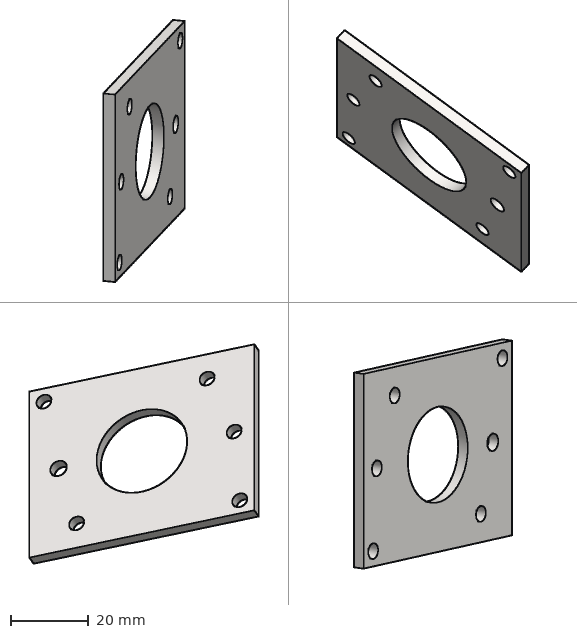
import cadquery as cq
import math

thickness = 3.15
width = 61.9
height = 50.8

bore_diameter = 24.9

hole_diameter = 4.1
side_hole_diameter = 4.5
corner_inset = 4.0
pitch_radius = 25.4
side_hole_offset = 22.9
diagonal_angle = 45.0

corner_y = width / 2 - corner_inset
corner_z = height / 2 - corner_inset
diagonal_offset = pitch_radius * math.cos(math.radians(diagonal_angle))


def through_holes(plate, diameter, centers):
    """Cut round holes through the thickness at (y, z) centers."""
    cutters = (
        cq.Workplane("YZ")
        .pushPoints(centers)
        .circle(diameter / 2)
        .extrude(thickness, both=True)
    )
    return plate.cut(cutters)


plate = cq.Workplane("XY").box(thickness, width, height)
plate = through_holes(plate, bore_diameter, [(0, 0)])
plate = through_holes(plate, side_hole_diameter, [(side_hole_offset, 0)])

small_hole_centers = [
    (corner_y, corner_z),
    (-corner_y, -corner_z),
    (diagonal_offset, -diagonal_offset),
    (-diagonal_offset, diagonal_offset),
    (-pitch_radius, 0),
]
result = through_holes(plate, hole_diameter, small_hole_centers)